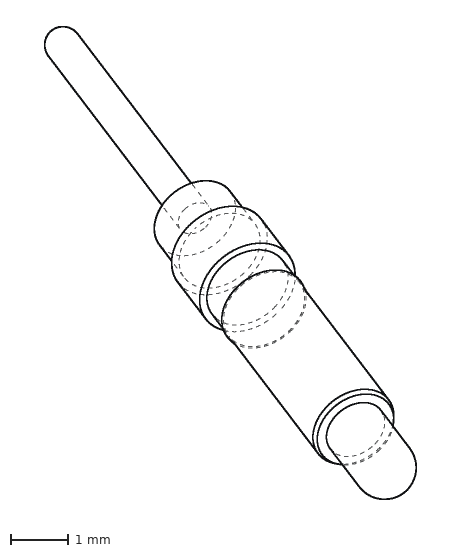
import cadquery as cq
import math

total_length = 14.61

tail_radius = 0.32
body_radius = 0.77
collar_radius = 0.913
barb_radius = 0.8
plunger_radius = 0.55

body_start = 5.95
collar_start = 7.0
collar_length = 1.2
barb_start = 8.9
barb_length = 0.26
body_end = 12.81
body_chamfer = 0.09
chamfer_depth = 0.05

collar_end = collar_start + collar_length
barb_end = barb_start + barb_length
plunger_dome_start = total_length - plunger_radius
dome_mid = math.sqrt(0.5)

profile = (
    cq.Workplane("XY")
    .moveTo(0, 0)
    .threePointArc(
        (tail_radius * (1 - dome_mid), tail_radius * dome_mid),
        (tail_radius, tail_radius),
    )
    .lineTo(body_start, tail_radius)
    .lineTo(body_start, body_radius)
    .lineTo(collar_start, body_radius)
    .lineTo(collar_start, collar_radius)
    .lineTo(collar_end, collar_radius)
    .lineTo(collar_end, body_radius)
    .lineTo(barb_start, body_radius)
    .lineTo(barb_start, barb_radius)
    .lineTo(barb_end, body_radius)
    .lineTo(body_end - body_chamfer, body_radius)
    .lineTo(body_end, body_radius - chamfer_depth)
    .lineTo(body_end, plunger_radius)
    .lineTo(plunger_dome_start, plunger_radius)
    .threePointArc(
        (plunger_dome_start + plunger_radius * dome_mid, plunger_radius * dome_mid),
        (total_length, 0),
    )
    .close()
)

result = profile.revolve(360, (0, 0, 0), (1, 0, 0))